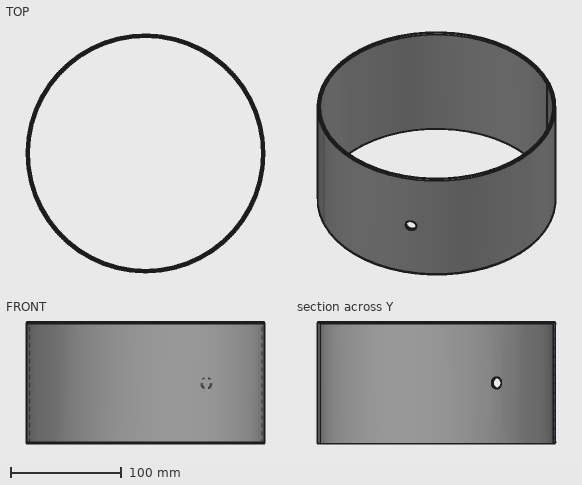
import cadquery as cq
import math

outer_diameter = 215.0
height = 110.0
wall = 2.5
bevel_height = 1.5
bevel_depth = 0.75
slit_width = 1.7
slit_offset = 0.9
hole_diameter = 10.0
hole_angle = 59.0

outer_radius = outer_diameter / 2
inner_radius = outer_radius - wall
half_height = height / 2
cut_depth = 4 * wall


def make_ring():
    """Thin sleeve centred on the origin, steeply bevelled on all rim edges but the lower inner one."""
    rim_outer = outer_radius - bevel_depth
    rim_inner = inner_radius + bevel_depth
    shoulder = half_height - bevel_height
    wall_section = [
        (inner_radius, -half_height),
        (rim_outer, -half_height),
        (outer_radius, -shoulder),
        (outer_radius, shoulder),
        (rim_outer, half_height),
        (rim_inner, half_height),
        (inner_radius, shoulder),
    ]
    return (
        cq.Workplane("XZ")
        .polyline(wall_section)
        .close()
        .revolve(360, (0, 0, 0), (0, 1, 0))
    )


def make_slit():
    """Narrow full-height gap through the -X side of the wall."""
    return (
        cq.Workplane("XY")
        .box(cut_depth, slit_width, height)
        .translate((-outer_radius, slit_offset, 0))
    )


def make_hole():
    """Radial cylinder through the wall at mid height."""
    angle = math.radians(hole_angle)
    outward = cq.Vector(math.cos(angle), math.sin(angle), 0)
    start = outward * (outer_radius - cut_depth / 2)
    return cq.Solid.makeCylinder(hole_diameter / 2, cut_depth, start, outward)


result = make_ring().cut(make_slit()).cut(make_hole())